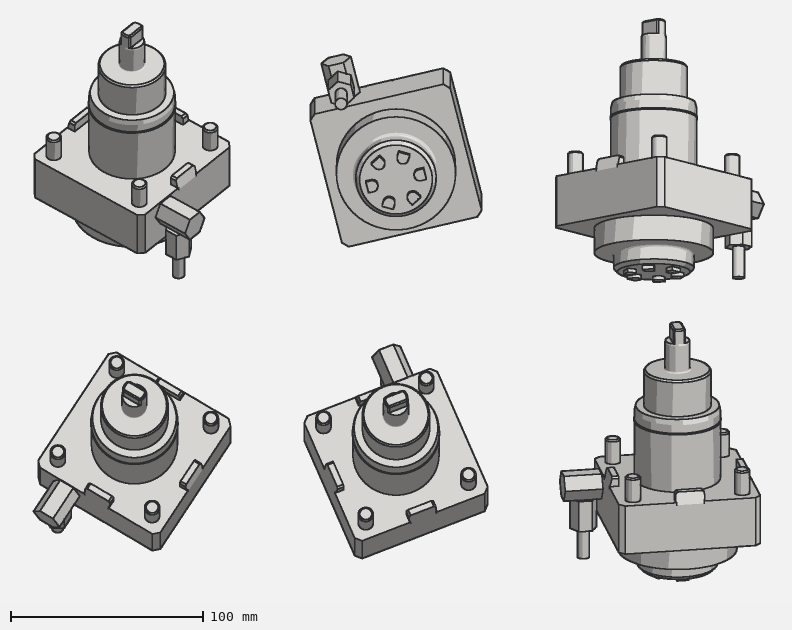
import cadquery as cq
import math

total_height = 136.0

body_side = 75.0
body_bottom = 25.2
body_height = 26.7
body_corner_chamfer = 3.0
body_top = body_bottom + body_height
half_side = body_side / 2

flange_radius = 31.0
boss_radius = 21.0
boss_top = 12.1
boss_fillet = 1.9
boss_chamfer = 2.0

foot_count = 6
foot_width = 6.1
foot_height = 2.0
foot_outer_distance = 15.5
foot_round_distance = 12.8
foot_start_angle = 30.0

collar_radius = 22.5
collar_top = 92.0
collar_chamfer_width = 0.7
collar_chamfer_height = 2.9
rib_radius = 22.7
rib_bottom = 83.8
rib_height = 0.7
neck_radius = 17.5
neck_top = 111.9
neck_chamfer_width = 0.8
neck_chamfer_height = 1.1

shaft_radius = 6.5
shaft_top = 128.0
shaft_fillet = 0.8
shaft_chamfer_width = 0.3
shaft_chamfer_height = 1.1
tang_thickness = 6.4
tang_edge_chamfer = 0.7
tang_top_chamfer = 0.8

pin_spacing = 57.8
pin_radius = 4.0
pin_height = 13.2
pin_chamfer = 0.8

tab_width = 15.2
tab_height = 5.3
tab_depth = 5.0
tab_top_setback = 1.6
tab_chamfer = 1.1
tab_notch_width = 14.4
tab_notch_depth = 1.4

hexagon_sides = 6
arm_length = 20.0
arm_flats = 13.9
connector_y = -18.1
arm_below_top = 0.8
gland_corners = 14.1
gland_length = 16.7
gland_offset = 9.0
cable_radius = 3.1
cable_length = 16.3


def make_turned_core():
    """Revolve everything that is round about the main axis."""
    return (
        cq.Workplane("XZ")
        .moveTo(0, foot_height)
        .lineTo(boss_radius - boss_chamfer, foot_height)
        .lineTo(boss_radius, foot_height + boss_chamfer)
        .lineTo(boss_radius, boss_top - boss_fillet)
        .radiusArc((boss_radius + boss_fillet, boss_top), boss_fillet)
        .lineTo(flange_radius, boss_top)
        .lineTo(flange_radius, body_bottom)
        .lineTo(collar_radius, body_bottom)
        .lineTo(collar_radius, rib_bottom)
        .lineTo(rib_radius, rib_bottom)
        .lineTo(rib_radius, rib_bottom + rib_height)
        .lineTo(collar_radius, rib_bottom + rib_height)
        .lineTo(collar_radius, collar_top - collar_chamfer_height)
        .lineTo(collar_radius - collar_chamfer_width, collar_top)
        .lineTo(neck_radius, collar_top)
        .lineTo(neck_radius, neck_top - neck_chamfer_height)
        .lineTo(neck_radius - neck_chamfer_width, neck_top)
        .lineTo(shaft_radius + shaft_fillet, neck_top)
        .radiusArc((shaft_radius, neck_top + shaft_fillet), shaft_fillet)
        .lineTo(shaft_radius, shaft_top - shaft_chamfer_height)
        .lineTo(shaft_radius - shaft_chamfer_width, shaft_top)
        .lineTo(0, shaft_top)
        .close()
        .revolve(360, (0, 0, 0), (0, 1, 0))
    )


def make_body():
    return (
        cq.Workplane("XY", origin=(0, 0, body_bottom))
        .rect(body_side, body_side)
        .extrude(body_height)
        .edges("|Z")
        .chamfer(body_corner_chamfer)
    )


def make_tang():
    """Flat drive tang with rounded ends, as wide as the chamfered shaft end."""
    tang_radius = shaft_radius - shaft_chamfer_width
    tang_height = total_height - shaft_top
    base = cq.Workplane("XY", origin=(0, 0, shaft_top))
    round_bar = base.circle(tang_radius).extrude(tang_height)
    flat_bar = base.rect(tang_thickness, 2 * tang_radius).extrude(tang_height)
    tang = round_bar.intersect(flat_bar)
    tang = tang.edges("|Z").edges(">X or <X").chamfer(tang_edge_chamfer)
    return tang.faces(">Z").chamfer(tang_top_chamfer)


def make_feet():
    """Ring of feet, each flat on the outside and round towards the axis."""
    half_width = foot_width / 2
    foot = (
        cq.Workplane("XY")
        .moveTo(foot_outer_distance, -half_width)
        .lineTo(foot_outer_distance, half_width)
        .lineTo(foot_round_distance, half_width)
        .threePointArc((foot_round_distance - half_width, 0), (foot_round_distance, -half_width))
        .close()
        .extrude(foot_height)
    )
    feet = cq.Workplane("XY")
    for index in range(foot_count):
        angle = foot_start_angle + index * 360 / foot_count
        feet = feet.add(foot.rotate((0, 0, 0), (0, 0, 1), angle))
    return feet.combine()


def make_pins():
    return (
        cq.Workplane("XY", origin=(0, 0, body_top))
        .rect(pin_spacing, pin_spacing, forConstruction=True)
        .vertices()
        .circle(pin_radius)
        .extrude(pin_height)
        .faces(">Z")
        .chamfer(pin_chamfer)
    )


slope_per_height = tab_top_setback / (tab_height + tab_notch_depth)
slope_at_body_top = slope_per_height * tab_notch_depth


def make_tab():
    """Tab on the +X edge of the body top, chamfered at both upper ends."""
    return (
        cq.Workplane("XZ", origin=(half_side, 0, body_top))
        .moveTo(-tab_depth, 0)
        .lineTo(-slope_at_body_top, 0)
        .lineTo(-tab_top_setback, tab_height)
        .lineTo(-tab_depth, tab_height)
        .close()
        .extrude(tab_width / 2, both=True)
        .faces(">Z")
        .edges("|X")
        .chamfer(tab_chamfer)
    )


def make_tab_notch():
    """Wedge that carries the sloping tab face down into the +X body side."""
    return (
        cq.Workplane("XZ", origin=(half_side, 0, body_top))
        .moveTo(0, -tab_notch_depth)
        .lineTo(0, 0)
        .lineTo(-slope_at_body_top, 0)
        .close()
        .extrude(tab_notch_width / 2, both=True)
    )


def make_connector():
    """Hexagonal arm on the +X side with a gland and cable hanging from it."""
    corner_ratio = math.cos(math.pi / hexagon_sides)
    arm_z = body_top - arm_below_top - arm_flats / 2
    arm_bottom = arm_z - arm_flats / 2
    gland_x = half_side + gland_offset
    arm = (
        cq.Workplane("YZ", origin=(half_side, connector_y, arm_z))
        .polygon(hexagon_sides, arm_flats / corner_ratio)
        .extrude(arm_length)
    )
    gland = (
        cq.Workplane("XY", origin=(gland_x, connector_y, arm_bottom))
        .polygon(hexagon_sides, gland_corners)
        .extrude(-gland_length)
    )
    cable = (
        cq.Workplane("XY", origin=(gland_x, connector_y, arm_bottom - gland_length))
        .circle(cable_radius)
        .extrude(-cable_length)
    )
    return arm.union(gland).union(cable)


result = make_turned_core().union(make_body()).union(make_tang())
result = result.union(make_feet()).union(make_pins())

for tab_angle in (0, 90, 180):
    result = result.cut(make_tab_notch().rotate((0, 0, 0), (0, 0, 1), tab_angle))
    result = result.union(make_tab().rotate((0, 0, 0), (0, 0, 1), tab_angle))

result = result.union(make_connector())